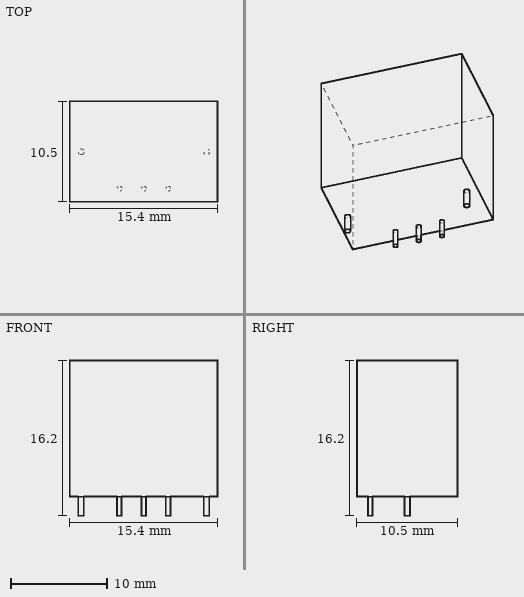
import cadquery as cq

housing_length = 15.4
housing_width = 10.5
total_height = 16.2
pin_length = 2.0
housing_height = total_height - pin_length

thick_pin_diameter = 0.6
thick_pin_spacing = 13.05

thin_pin_diameter = 0.5
thin_pin_pitch = 2.55
thin_pin_row_y = -3.84


def make_housing():
    """Solid block whose underside lies on Z = 0."""
    return cq.Workplane("XY").box(
        housing_length, housing_width, housing_height, centered=(True, True, False)
    )


def make_pin(diameter, x, y):
    """Round pin hanging down from the underside of the housing."""
    return cq.Workplane("XY").center(x, y).circle(diameter / 2).extrude(-pin_length)


housing = make_housing()

thick_pins = []
for side in (-1, 1):
    thick_pins.append(make_pin(thick_pin_diameter, side * thick_pin_spacing / 2, 0))

thin_pins = []
for step in (-1, 0, 1):
    thin_pins.append(make_pin(thin_pin_diameter, step * thin_pin_pitch, thin_pin_row_y))

result = cq.Compound.makeCompound([housing.val(), *[pin.val() for pin in thick_pins + thin_pins]])